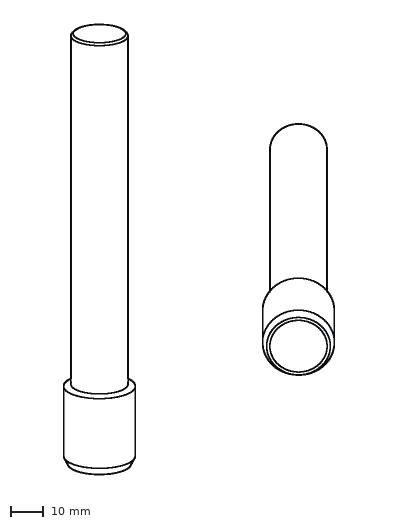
import cadquery as cq

rod_length = 140.0
rod_diameter = 17.5
rod_chamfer = 0.7

collar_diameter = 22.0
collar_height = 25.9
collar_top_slope = 0.7
collar_lead_in_height = 2.5
collar_lead_in_width = 1.3

rod_radius = rod_diameter / 2
collar_radius = collar_diameter / 2


def make_rod():
    """Plain round rod with a chamfered top edge."""
    rod = cq.Workplane("XY").circle(rod_radius).extrude(rod_length)
    return rod.faces(">Z").edges().chamfer(rod_chamfer)


def make_collar():
    """Sleeve bored to fit the rod, with a conical top and a tapered lower edge."""
    half_section = (
        cq.Workplane("XZ")
        .moveTo(rod_radius, 0)
        .lineTo(collar_radius - collar_lead_in_width, 0)
        .lineTo(collar_radius, collar_lead_in_height)
        .lineTo(collar_radius, collar_height - collar_top_slope)
        .lineTo(rod_radius, collar_height)
        .close()
    )
    return half_section.revolve(360, (0, 0, 0), (0, 1, 0))


rod = make_rod()
collar = make_collar()

result = cq.Compound.makeCompound([rod.val(), collar.val()])